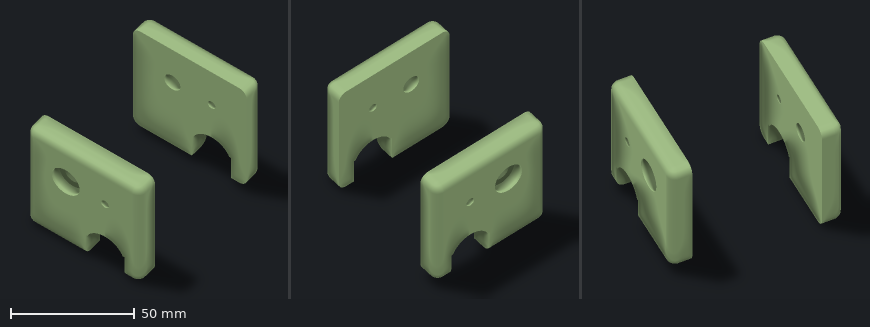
import cadquery as cq

SIDE = 58.0
THICKNESS = 10.0
EDGE_RADIUS = 4.0

TOTAL_DEPTH = 76.7
REAR_SHIFT_X = 3.5
REAR_SHIFT_Z = 3.2

HOLE_Z = 38.0
SCREW_X = 20.0
SCREW_DIAMETER = 8.3
COUNTERBORE_DIAMETER = 14.2
COUNTERBORE_DEPTH = 5.0
PIN_HOLE_X = 2 * SCREW_X
PIN_HOLE_DIAMETER = 4.0

NOTCH_WIDTH = 20.0
NOTCH_SHOULDER_Z = 12.3
NOTCH_TOP_Z = 18.1


def cylinder_along_y(x, z, diameter, depth):
    """Cylinder that starts at Y = 0 and runs toward +Y."""
    return cq.Workplane("XZ").center(x, z).circle(diameter / 2).extrude(-depth)


def notch_cutter():
    """Straight slot topped by a round arch of the same width."""
    slot = cq.Workplane("XY").box(
        NOTCH_WIDTH, THICKNESS, NOTCH_SHOULDER_Z, centered=(True, False, False)
    ).translate((PIN_HOLE_X, 0, 0))
    arch_z = NOTCH_TOP_Z - NOTCH_WIDTH / 2
    return slot.union(cylinder_along_y(PIN_HOLE_X, arch_z, NOTCH_WIDTH, THICKNESS))


def notched_plate(rounded_face):
    """Plate from Y = 0 to THICKNESS, rounded on the face that the selector names."""
    plate = cq.Workplane("XY").box(SIDE, THICKNESS, SIDE, centered=False)
    plate = plate.edges("|Y").fillet(EDGE_RADIUS)
    plate = plate.faces(rounded_face).edges().fillet(EDGE_RADIUS)
    plate = plate.cut(notch_cutter())
    plate = plate.cut(cylinder_along_y(SCREW_X, HOLE_Z, SCREW_DIAMETER, THICKNESS))
    return plate.cut(cylinder_along_y(PIN_HOLE_X, HOLE_Z, PIN_HOLE_DIAMETER, THICKNESS))


def counterbore_cutter():
    """Counterbore for the screw head, starting at Y = 0."""
    return cylinder_along_y(SCREW_X, HOLE_Z, COUNTERBORE_DIAMETER, COUNTERBORE_DEPTH)


def make_front_plate():
    """Plate rounded and counterbored on its -Y face."""
    return notched_plate("<Y").cut(counterbore_cutter())


def make_rear_plate():
    """Plate rounded and counterbored on its +Y face, shifted back, right and up."""
    counterbore = counterbore_cutter().translate((0, THICKNESS - COUNTERBORE_DEPTH, 0))
    position = (REAR_SHIFT_X, TOTAL_DEPTH - THICKNESS, REAR_SHIFT_Z)
    return notched_plate(">Y").cut(counterbore).translate(position)


front_plate = make_front_plate()
rear_plate = make_rear_plate()

result = cq.Compound.makeCompound([front_plate.val(), rear_plate.val()])